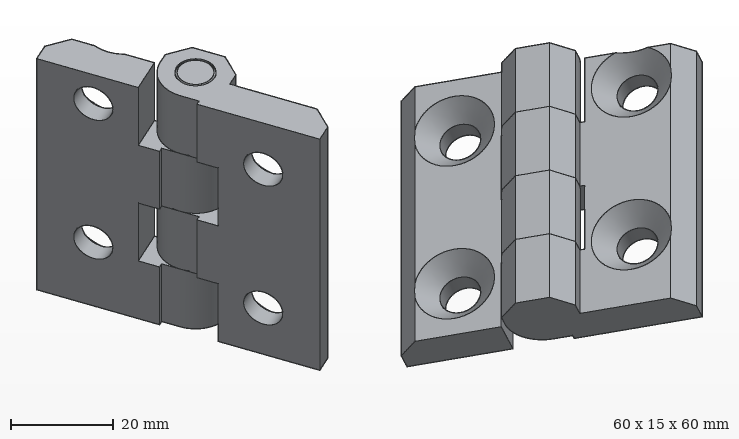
import cadquery as cq

height = 60.0
half_width = 30.0
knuckle_count = 4
knuckle_height = height / knuckle_count
knuckle_radius = 7.5
axis_to_front = 8.5
depth = 15.0
leaf_thickness = 8.0
bevel = 4.0
clearance_half_width = 8.45
relief_half_width = 3.95

pin_diameter = 8.0
pin_tip_chamfer = 0.4

hole_diameter = 8.3
countersink_diameter = 16.3
countersink_angle = 90.0
hole_from_edge = 12.0
hole_spacing = 36.0
left_hole_bottom = 16.5
right_hole_bottom = 12.0

front_y = -axis_to_front
leaf_back_y = front_y + leaf_thickness
knuckle_back_y = front_y + depth

LEFT, RIGHT = -1, 1


def make_plate(side):
    """Flat part of a leaf, ending at the knuckle clearance notch."""
    return (
        cq.Workplane("XY")
        .moveTo(side * clearance_half_width, front_y)
        .lineTo(side * half_width, front_y)
        .lineTo(side * half_width, leaf_back_y - bevel)
        .lineTo(side * (half_width - bevel), leaf_back_y)
        .lineTo(side * clearance_half_width, leaf_back_y)
        .close()
        .extrude(height)
    )


def make_knuckle(side, level):
    """Knuckle with a bevelled back and round free side, joined to its plate."""
    arc_middle = knuckle_radius * 0.5 ** 0.5
    return (
        cq.Workplane("XY", origin=(0, 0, level * knuckle_height))
        .moveTo(side * clearance_half_width, front_y)
        .lineTo(side * relief_half_width, front_y)
        .lineTo(side * relief_half_width, -knuckle_radius)
        .lineTo(0, -knuckle_radius)
        .threePointArc((-side * arc_middle, -arc_middle), (-side * knuckle_radius, 0))
        .lineTo(-side * knuckle_radius, knuckle_back_y - bevel)
        .lineTo(-side * (knuckle_radius - bevel), knuckle_back_y)
        .lineTo(side * (knuckle_radius - bevel), knuckle_back_y)
        .lineTo(side * knuckle_radius, knuckle_back_y - bevel)
        .lineTo(side * knuckle_radius, leaf_back_y)
        .lineTo(side * clearance_half_width, leaf_back_y)
        .close()
        .extrude(knuckle_height)
    )


def cut_screw_holes(leaf, side, bottom_hole_z):
    """Two through holes, countersunk from the back of the leaf."""
    hole_x = side * (half_width - hole_from_edge)
    back_plane = cq.Plane(origin=(hole_x, leaf_back_y, 0), xDir=(-1, 0, 0), normal=(0, 1, 0))
    return (
        leaf.copyWorkplane(cq.Workplane(back_plane))
        .pushPoints([(0, bottom_hole_z), (0, bottom_hole_z + hole_spacing)])
        .cskHole(hole_diameter, countersink_diameter, countersink_angle)
    )


def make_leaf(side, first_level, bottom_hole_z):
    """Plate with every second knuckle and its screw holes."""
    leaf = make_plate(side)
    for level in range(first_level, knuckle_count, 2):
        leaf = leaf.union(make_knuckle(side, level))
    return cut_screw_holes(leaf, side, bottom_hole_z)


def make_pin_shape():
    """Full-height pin shape with a chamfered top end."""
    pin = cq.Workplane("XY").circle(pin_diameter / 2).extrude(height)
    return pin.faces(">Z").chamfer(pin_tip_chamfer)


def make_pin_bore():
    """Straight bore through the full height of the hinge."""
    return cq.Workplane("XY").circle(pin_diameter / 2).extrude(height)


left_leaf = make_leaf(LEFT, 0, left_hole_bottom).union(make_pin_shape())
right_leaf = make_leaf(RIGHT, 1, right_hole_bottom).cut(make_pin_bore())

result = cq.Compound.makeCompound([left_leaf.solids().val(), right_leaf.solids().val()])